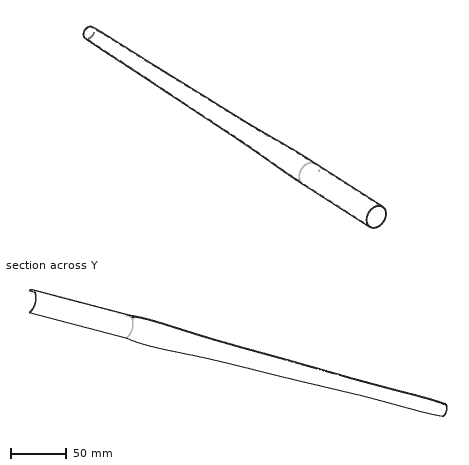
import cadquery as cq

overall_length = 450.0
tube_diameter = 22.2
bore_diameter = 20.6
wall = (tube_diameter - bore_diameter) / 2
straight_length = 105.5
tip_diameter = 12.5
blade_length = overall_length - straight_length
bulge_distance = 318.0
bulge_height = 25.7

oval_sections = [
    (0.0, tip_diameter, tip_diameter),
    (50.0, 13.3, 14.3),
    (140.0, 13.9, 16.5),
    (225.0, 14.3, 19.0),
    (270.0, 14.4, 21.6),
    (bulge_distance, 15.2, bulge_height),
    (blade_length, tube_diameter, tube_diameter),
]


def cross_section(distance):
    """Workplane across the tube; its local x is Z, so the long radius of every oval comes first."""
    return cq.Workplane(cq.Plane(origin=(distance, 0, 0), xDir=(0, 0, 1), normal=(1, 0, 0)))


def make_blade(inset):
    """Loft through the oval sections, each one shrunk by the inset all round."""
    outlines = []
    for distance, width, height in oval_sections:
        oval = cross_section(distance).ellipse(height / 2 - inset, width / 2 - inset)
        outlines.append(oval.val())
    return cq.Workplane(cq.Solid.makeLoft(outlines))


def make_straight_tube():
    """Round tube from the wide end of the blade to the end of the part."""
    rings = cross_section(blade_length).circle(tube_diameter / 2).circle(bore_diameter / 2)
    return rings.extrude(straight_length)


tapered_blade = make_blade(0.0).cut(make_blade(wall))
result = tapered_blade.union(make_straight_tube())